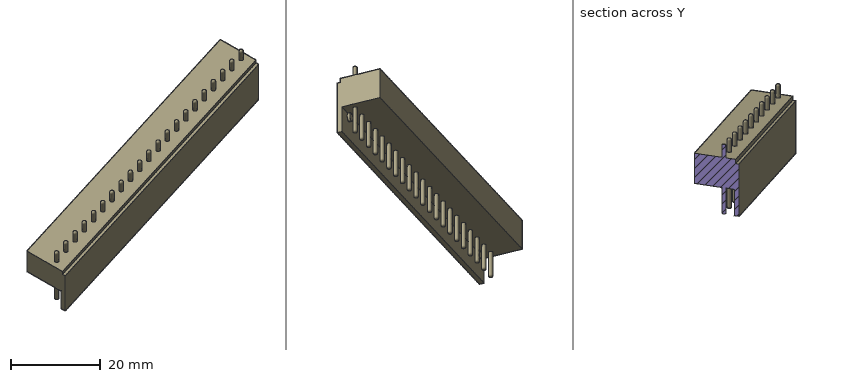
import cadquery as cq

length = 73.5
depth = 10.6
body_height = 7.5
wall_drop = 6.4
wall_thickness = 1.2
step_depth = 0.7
step_height = 1.0

pin_count = 21
pin_row_span = 70.05
pin_diameter = 1.0
pin_tip_radius = 0.45
pin_x = 7.0
pin_rise = 3.2

bump_width = 1.55
bump_height = 2.2
bump_thickness = 0.65
bump_bottom_drop = 2.0

body_bottom = wall_drop
body_top = body_bottom + body_height
wall_front_x = depth - wall_thickness


def make_housing():
    """Constant profile with its lower edge at Z = 0, centred along Y."""
    profile = [
        (0, body_bottom),
        (wall_front_x, body_bottom),
        (wall_front_x, 0),
        (depth, 0),
        (depth, body_top - step_height),
        (depth - step_depth, body_top - step_height),
        (depth - step_depth, body_top),
        (0, body_top),
    ]
    return cq.Workplane("XZ").polyline(profile).close().extrude(length / 2, both=True)


def make_pin(y):
    """Round pin with rounded tips, level with the wall's lower edge."""
    pin = cq.Workplane("XY").circle(pin_diameter / 2).extrude(body_top + pin_rise)
    return pin.faces("|Z").edges().fillet(pin_tip_radius).translate((pin_x, y, 0))


def make_bump(y):
    """Upright elliptical bump standing off the wall, rooted inside it."""
    root_depth = wall_thickness / 2
    center_z = body_bottom - bump_bottom_drop + bump_height / 2
    bump = cq.Workplane("YZ").ellipse(bump_width / 2, bump_height / 2).extrude(bump_thickness + root_depth)
    return bump.translate((wall_front_x - bump_thickness, y, center_z))


result = make_housing()

pin_pitch = pin_row_span / (pin_count - 1)
first_pin_y = -pin_row_span / 2
for index in range(pin_count):
    result = result.union(make_pin(first_pin_y + index * pin_pitch))

bump_y = first_pin_y + pin_pitch / 2
for y in (bump_y, -bump_y):
    result = result.union(make_bump(y))